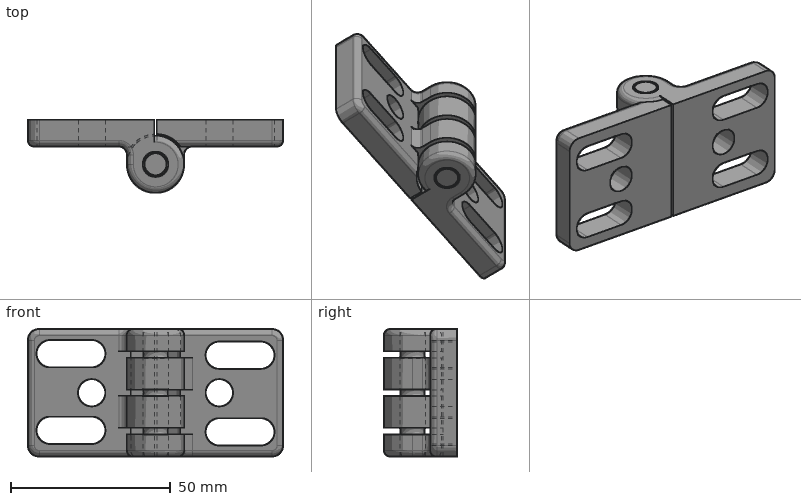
import cadquery as cq
import math


hinge_length = 80.0
hinge_height = 40.0
plate_thickness = 8.5
plate_back = 14.0
plate_front = plate_back - plate_thickness
leaf_gap = 0.6
plate_end = hinge_length / 2
plate_inner = leaf_gap / 2
plate_length = plate_end - plate_inner
corner_radius = 3.5
edge_round = 2.0

knuckle_diameter = 18.0
knuckle_radius = knuckle_diameter / 2
root_fillet = 2.5
knuckle_pitch = 12.0
knuckle_gap = 2.0
gap_count = 3
recess_radius = 9.5

slot_width = 8.5
slot_length = 21.5
slot_x = 26.5
slot_spacing = 24.0
slot_offset = 0.2
hole_x = 20.0

pin_diameter = 8.0
pin_radius = pin_diameter / 2
taper_inset = 0.6
taper_length = 2.0
neck_depth = 0.2
neck_length = 2.3

half_height = hinge_height / 2
gap_centres = [(i - (gap_count - 1) / 2) * knuckle_pitch for i in range(gap_count)]

lower_gap, middle_gap, upper_gap = gap_centres
knuckle_spans = [
    (upper_gap + knuckle_gap / 2, half_height),
    (lower_gap + knuckle_gap / 2, middle_gap - knuckle_gap / 2),
]
recess_spans = [
    (middle_gap - knuckle_gap / 2, upper_gap + knuckle_gap / 2),
    (-half_height, lower_gap + knuckle_gap / 2),
]


def cylinder(radius, bottom, top):
    """Round bar on the hinge axis."""
    return cq.Workplane("XY").workplane(offset=bottom).circle(radius).extrude(top - bottom)


def make_plate():
    """Flat plate on the -X side with its two outer corners rounded."""
    plate = cq.Workplane("XY").box(
        plate_length, plate_thickness, hinge_height, centered=(False, False, True)
    )
    plate = plate.translate((-plate_end, plate_front, 0))
    return plate.edges("|Y and <X").fillet(corner_radius)


def make_knuckle(bottom, top):
    """Barrel that blends into the plate front through a concave root."""
    root_x = -knuckle_radius - root_fillet
    root_y = plate_front - root_fillet
    root_middle = root_fillet * math.sqrt(0.5)
    barrel_end_y = math.sqrt(knuckle_radius**2 - plate_inner**2)
    return (
        cq.Workplane("XY")
        .workplane(offset=bottom)
        .moveTo(root_x, plate_front)
        .threePointArc((root_x + root_middle, root_y + root_middle), (-knuckle_radius, root_y))
        .lineTo(-knuckle_radius, 0)
        .threePointArc((0, -knuckle_radius), (-plate_inner, barrel_end_y))
        .lineTo(root_x, barrel_end_y)
        .close()
        .extrude(top - bottom)
    )


def round_front_edge(leaf):
    """Round the plate's outer front edge; the round runs on along the edges tangent to it."""
    outer_edge = cq.selectors.NearestToPointSelector((-plate_end, plate_front, 0))
    return leaf.edges(outer_edge).fillet(edge_round)


def screw_openings():
    """Two slots and a round hole that go through the plate."""
    depth = 2 * plate_back
    plane = cq.Workplane("XZ")
    slot_places = [(-slot_x, slot_offset + side * slot_spacing / 2) for side in (-1, 1)]
    slots = plane.pushPoints(slot_places).slot2D(slot_length, slot_width).extrude(-depth)
    hole = plane.center(-hole_x, 0).circle(slot_width / 2).extrude(-depth)
    return slots.union(hole)


def make_leaf():
    """Leaf on the -X side: plate, two knuckles, recesses, screw openings and pin bore."""
    leaf = make_plate()
    for bottom, top in knuckle_spans:
        leaf = leaf.union(make_knuckle(bottom, top))
    leaf = round_front_edge(leaf)
    for bottom, top in recess_spans:
        leaf = leaf.cut(cylinder(recess_radius, bottom, top))
    leaf = leaf.cut(screw_openings())
    return leaf.cut(cylinder(pin_radius, -half_height, half_height))


def make_pin():
    """Pin with tapered ends and a shallow concave neck at each gap between knuckles."""
    end_radius = pin_radius - taper_inset
    profile = (
        cq.Workplane("XZ")
        .moveTo(0, -half_height)
        .lineTo(end_radius, -half_height)
        .lineTo(pin_radius, -half_height + taper_length)
    )
    for centre in gap_centres:
        profile = profile.lineTo(pin_radius, centre - neck_length / 2)
        profile = profile.threePointArc(
            (pin_radius - neck_depth, centre), (pin_radius, centre + neck_length / 2)
        )
    profile = (
        profile.lineTo(pin_radius, half_height - taper_length)
        .lineTo(end_radius, half_height)
        .lineTo(0, half_height)
        .close()
    )
    return profile.revolve(360, (0, 0, 0), (0, 1, 0))


leaves = [make_leaf().rotate((0, 0, 0), (0, 1, 0), turn) for turn in (0, 180)]
pin = make_pin()

result = cq.Compound.makeCompound([*[leaf.solids().val() for leaf in leaves], pin.val()])